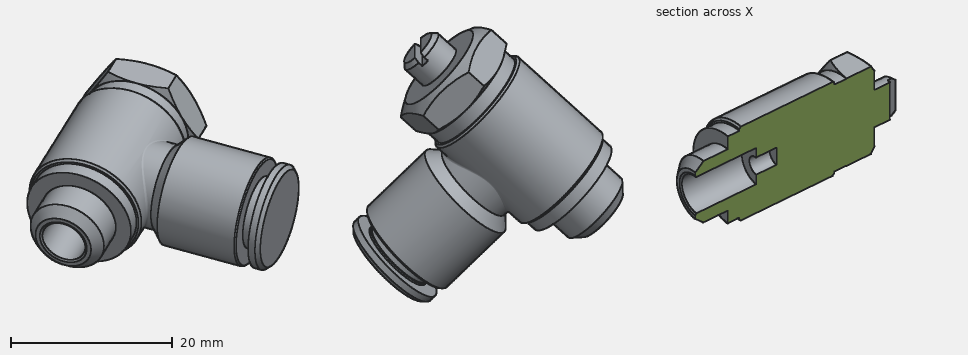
import cadquery as cq
import math

collar_start = 5.08
body_start = 6.85
body_end = 21.77
nut_start = 23.6
nut_end = 28.05
stem_length = 31.75

thread_radius = 4.92
thread_tip_radius = 3.7
thread_chamfer_length = 1.27
collar_radius = 6.95
body_diameter = 15.0
body_radius = body_diameter / 2
body_chamfer = 0.3

nut_across_flats = 13.95
nut_across_corners = nut_across_flats / math.cos(math.pi / 6)
nut_outer_face_radius = 6.03
nut_inner_face_radius = 6.98
nut_chamfer_slope = math.tan(math.pi / 6)

screw_radius = 3.0
screw_tip_radius = 2.45
screw_chamfer_length = 0.65
slot_width = 0.98
slot_depth = 1.27

bore_radius = 2.85
bore_mouth_radius = 3.15
bore_mouth_depth = 0.15
bore_depth = 9.52
passage_radius = 1.33
passage_depth = 12.7

arm_y = (body_start + body_end) / 2
cone_start = 8.05
cone_end = 9.52
sleeve_end = 20.0
neck_end = 21.33
ring_start = 21.58
arm_end = 23.0

stub_radius = 5.5
junction_fillet = 0.25
sleeve_radius = 6.98
sleeve_chamfer = 0.2
neck_radius = 4.63
neck_step_radius = 4.85
ring_radius = 6.75
ring_chamfer = 0.5


def revolve_about_y(profile):
    """Revolve a closed profile of (radius, y) points about the Y axis."""
    return cq.Workplane("XY").polyline(profile).close().revolve(360, (0, 0, 0), (0, 1, 0))


def make_stem():
    return revolve_about_y([
        (0, 0),
        (thread_tip_radius, 0),
        (thread_radius, thread_chamfer_length),
        (thread_radius, collar_start),
        (collar_radius, collar_start),
        (collar_radius, body_start),
        (body_radius - body_chamfer, body_start),
        (body_radius, body_start + body_chamfer),
        (body_radius, body_end - body_chamfer),
        (body_radius - body_chamfer, body_end),
        (collar_radius, body_end),
        (collar_radius, nut_start),
        (screw_radius, nut_start),
        (screw_radius, stem_length - screw_chamfer_length),
        (screw_tip_radius, stem_length),
        (0, stem_length),
    ])


def make_nut():
    corner_radius = nut_across_corners / 2
    outer_chamfer = (corner_radius - nut_outer_face_radius) * nut_chamfer_slope
    inner_chamfer = (corner_radius - nut_inner_face_radius) * nut_chamfer_slope
    hexagon = (
        cq.Workplane("XZ", origin=(0, nut_start, 0))
        .polygon(6, nut_across_corners)
        .extrude(nut_start - nut_end)
    )
    chamfer_envelope = revolve_about_y([
        (0, nut_start),
        (nut_inner_face_radius, nut_start),
        (corner_radius, nut_start + inner_chamfer),
        (corner_radius, nut_end - outer_chamfer),
        (nut_outer_face_radius, nut_end),
        (0, nut_end),
    ])
    return hexagon.intersect(chamfer_envelope)


def make_arm():
    profile = [
        (0, 0),
        (0, stub_radius),
        (cone_start, stub_radius),
        (cone_end, sleeve_radius),
        (sleeve_end - sleeve_chamfer, sleeve_radius),
        (sleeve_end, sleeve_radius - sleeve_chamfer),
        (sleeve_end, neck_radius),
        (neck_end, neck_radius),
        (neck_end, neck_step_radius),
        (ring_start, neck_step_radius),
        (ring_start, ring_radius),
        (arm_end - ring_chamfer, ring_radius),
        (arm_end, ring_radius - ring_chamfer),
        (arm_end, 0),
    ]
    return (
        cq.Workplane("XY", origin=(0, arm_y, 0))
        .polyline(profile)
        .close()
        .revolve(360, (0, 0, 0), (1, 0, 0))
    )


def make_bore():
    return revolve_about_y([
        (0, 0),
        (bore_mouth_radius, 0),
        (bore_radius, bore_mouth_depth),
        (bore_radius, bore_depth),
        (passage_radius, bore_depth),
        (passage_radius, passage_depth),
        (0, passage_depth),
    ])


def make_driver_slot():
    return (
        cq.Workplane("XY")
        .box(slot_width, slot_depth, 2 * screw_radius)
        .translate((0, stem_length - slot_depth / 2, 0))
    )


def join_arm(stem, arm):
    """Unite the stem and arm, rounding the curve where the stub leaves the body."""
    reach = stub_radius + junction_fillet
    middle_x = body_radius / 2
    far_x = (body_radius + cone_start) / 2
    junction_box = cq.selectors.BoxSelector(
        (middle_x, arm_y - reach, -reach),
        (far_x, arm_y + reach, reach),
        boundingbox=True,
    )
    return stem.union(arm).edges(junction_box).fillet(junction_fillet)


result = (
    join_arm(make_stem(), make_arm())
    .union(make_nut())
    .cut(make_bore())
    .cut(make_driver_slot())
)